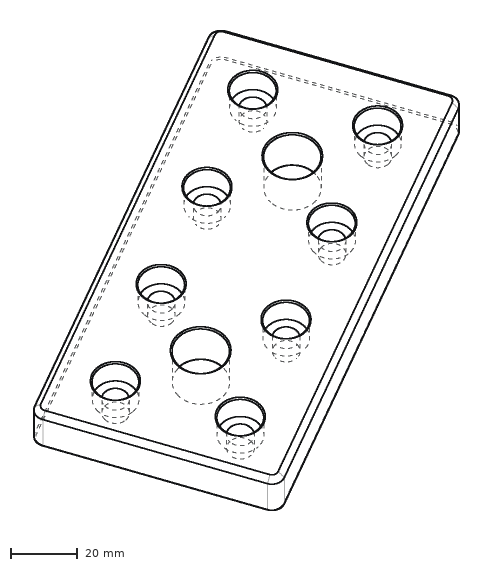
import cadquery as cq

length = 160.0
width = length / 2
thickness = 15.0
corner_radius = 4.0
top_chamfer = corner_radius / 2
bottom_chamfer = 0.5

hole_pitch = 40.0
screw_diameter = 8.3
counterbore_diameter = 14.0
counterbore_depth = 8.6
large_diameter = 17.3
mouth_chamfer = 0.5


def plate():
    """Rounded plate resting on Z = 0 with bevelled top and bottom edges."""
    body = cq.Workplane("XY").box(width, length, thickness, centered=(True, True, False))
    body = body.edges("|Z").fillet(corner_radius)
    body = body.faces(">Z").edges().chamfer(top_chamfer)
    return body.faces("<Z").edges().chamfer(bottom_chamfer)


def bore(points, diameter, depth):
    """Cylinders reaching down from the top face, each with a bevelled mouth."""
    top = cq.Workplane("XY").workplane(offset=thickness).pushPoints(points)
    cylinders = top.circle(diameter / 2).extrude(-depth)
    mouths = top.circle(diameter / 2 + mouth_chamfer).extrude(-mouth_chamfer, taper=45)
    return cylinders.union(mouths)


screw_points = [
    (column * hole_pitch, row * hole_pitch)
    for column in (-0.5, 0.5)
    for row in (-1.5, -0.5, 0.5, 1.5)
]
screw_shanks = (
    cq.Workplane("XY").pushPoints(screw_points).circle(screw_diameter / 2).extrude(thickness)
)
counterbores = bore(screw_points, counterbore_diameter, counterbore_depth)

large_points = [(0, -hole_pitch), (0, hole_pitch)]
large_holes = bore(large_points, large_diameter, thickness)

result = plate().cut(screw_shanks).cut(counterbores).cut(large_holes)